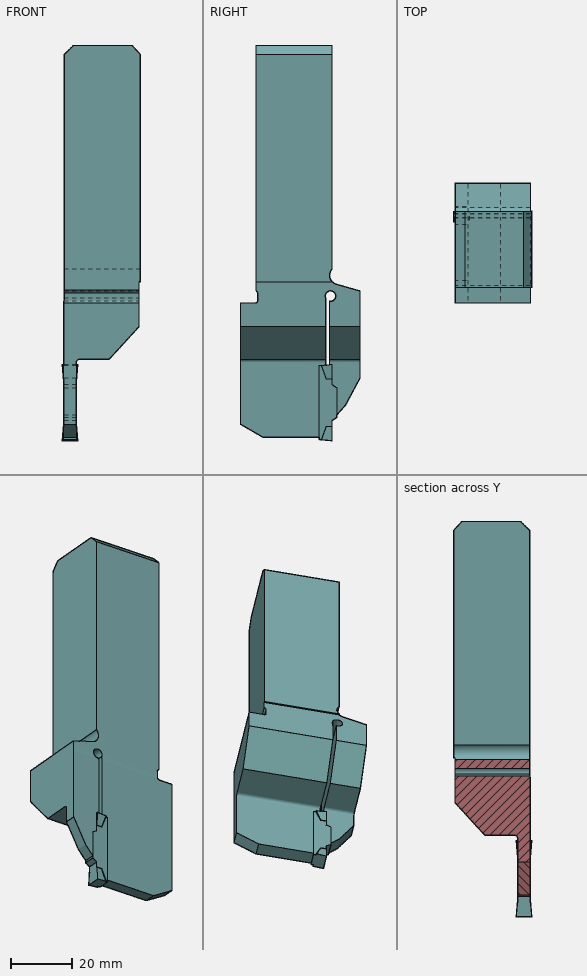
import cadquery as cq


total_height = 129.1
shank_width = 25.0
shank_depth = 24.9
shank_front = 5.0
shank_back = shank_front + shank_depth
top_chamfer_drop = 3.0
left_chamfer_width = 3.2
right_chamfer_width = 2.7
shank_side_bottom = 51.9

side_step = 0.1
side_step_top = 46.5
side_step_bottom = 45.5

head_width = 24.7
head_back = 39.1
shoulder_height = 45.0
head_slope_top = 37.3
head_floor = 26.6
head_floor_end = 14.8
blade_thickness = 4.1
blade_fillet = 1.0
blade_bottom = 1.2
blade_corner_height = 5.4
blade_corner_depth = 7.4

relief_depth = 0.6
relief_slope_height = 0.9
relief_top = 49.2
relief_fillet = 0.8

jaw_top = 48.9
jaw_groove_bottom = (31.0, 51.3)
jaw_groove_middle = (29.2, 54.0)
jaw_groove_top = 56.0
jaw_slope_top = 20.5
jaw_slope_bend = (34.3, 11.6)
jaw_tip = (31.4, 8.3)

slot_front = 27.9
slot_width = 1.2
slot_hole_radius = 1.7
slot_hole_y = 29.5
slot_hole_z = 47.3

insert_length = 24.9
insert_front = 25.7
insert_back = shank_back
insert_ridge = 31.5
insert_end_slope = 0.4
ridge_inset = 7.6
ridge_rise = 1.0
tip_length = 4.6
tip_front = 26.5
tip_inner_front = 28.0
tip_overhang = 0.5
tip_inner_overhang = 0.1


def front_profile():
    """Outline of the holder in X and Z, extruded over the whole depth."""
    step_middle = (0.75 * side_step, (side_step_bottom + side_step_top) / 2)
    outline = (
        cq.Workplane("XZ")
        .moveTo(0, 0)
        .lineTo(0, side_step_bottom)
        .threePointArc(step_middle, (side_step, side_step_top))
        .lineTo(side_step, total_height - top_chamfer_drop)
        .lineTo(left_chamfer_width, total_height)
        .lineTo(shank_width - right_chamfer_width, total_height)
        .lineTo(shank_width, total_height - top_chamfer_drop)
        .lineTo(shank_width, shank_side_bottom)
        .lineTo(head_width, shank_side_bottom)
        .lineTo(head_width, head_slope_top)
        .lineTo(head_floor_end, head_floor)
        .lineTo(blade_thickness, head_floor)
        .lineTo(blade_thickness, 0)
        .close()
        .extrude(-head_back)
    )
    inner_corner = cq.selectors.NearestToPointSelector((blade_thickness, head_back / 2, head_floor))
    return outline.edges(inner_corner).fillet(blade_fillet)


def side_profile():
    """Outline of the holder in Y and Z, extruded over the whole width."""
    relief_back = shank_front + relief_depth
    outline = (
        cq.Workplane("YZ")
        .moveTo(blade_corner_depth, blade_bottom)
        .lineTo(0, blade_corner_height)
        .lineTo(0, shoulder_height)
        .lineTo(relief_back, shoulder_height)
        .lineTo(relief_back, relief_top - relief_slope_height)
        .lineTo(shank_front, relief_top)
        .lineTo(shank_front, total_height)
        .lineTo(shank_back, total_height)
        .lineTo(shank_back, jaw_groove_top)
        .threePointArc(jaw_groove_middle, jaw_groove_bottom)
        .lineTo(head_back, jaw_top)
        .lineTo(head_back, jaw_slope_top)
        .lineTo(*jaw_slope_bend)
        .lineTo(*jaw_tip)
        .lineTo(insert_front, jaw_tip[1])
        .lineTo(insert_front, blade_bottom)
        .close()
        .extrude(shank_width)
    )
    inner_corner = cq.selectors.NearestToPointSelector((shank_width / 2, relief_back, shoulder_height))
    return outline.edges(inner_corner).fillet(relief_fillet)


def clamping_slot():
    """Narrow slot from the insert seat up into a round hole."""
    slot_bottom = insert_length / 2
    slot = (
        cq.Workplane("YZ")
        .moveTo(slot_front, slot_bottom)
        .rect(slot_width, slot_hole_z - slot_bottom, centered=False)
        .extrude(shank_width)
    )
    hole = (
        cq.Workplane("YZ")
        .center(slot_hole_y, slot_hole_z)
        .circle(slot_hole_radius)
        .extrude(shank_width)
    )
    return slot.union(hole)


def insert_core():
    """Part of the insert that lies within the blade thickness; it also shapes the seat."""
    return (
        cq.Workplane("YZ")
        .moveTo(insert_front, insert_end_slope)
        .lineTo(insert_back, 0)
        .lineTo(insert_back, ridge_inset - ridge_rise)
        .lineTo(insert_ridge, ridge_inset)
        .lineTo(insert_ridge, insert_length - ridge_inset)
        .lineTo(insert_back, insert_length - ridge_inset + ridge_rise)
        .lineTo(insert_back, insert_length)
        .lineTo(insert_front, insert_length - insert_end_slope)
        .close()
        .extrude(blade_thickness)
    )


def lower_cutting_tip():
    """Cutting tip that overhangs both sides of the blade and narrows away from its end."""
    end_slope = insert_end_slope / (insert_back - insert_front)
    side = (
        cq.Workplane("YZ", origin=(-tip_overhang, 0, 0))
        .moveTo(insert_back, 0)
        .lineTo(tip_front, end_slope * (insert_back - tip_front))
        .lineTo(tip_inner_front, tip_length)
        .lineTo(insert_back, tip_length)
        .close()
        .extrude(blade_thickness + 2 * tip_overhang)
    )
    taper = (
        cq.Workplane("XZ")
        .moveTo(-tip_overhang, 0)
        .lineTo(blade_thickness + tip_overhang, 0)
        .lineTo(blade_thickness + tip_inner_overhang, tip_length)
        .lineTo(-tip_inner_overhang, tip_length)
        .close()
        .extrude(-head_back)
    )
    return side.intersect(taper)


def make_holder():
    blank = front_profile().intersect(side_profile())
    return blank.cut(clamping_slot()).cut(insert_core())


def make_insert():
    lower_tip = lower_cutting_tip()
    upper_tip = lower_tip.mirror("XY", (0, 0, insert_length / 2))
    return insert_core().union(lower_tip).union(upper_tip)


holder = make_holder()
insert = make_insert()

result = cq.Compound.makeCompound([holder.solids().val(), insert.solids().val()])